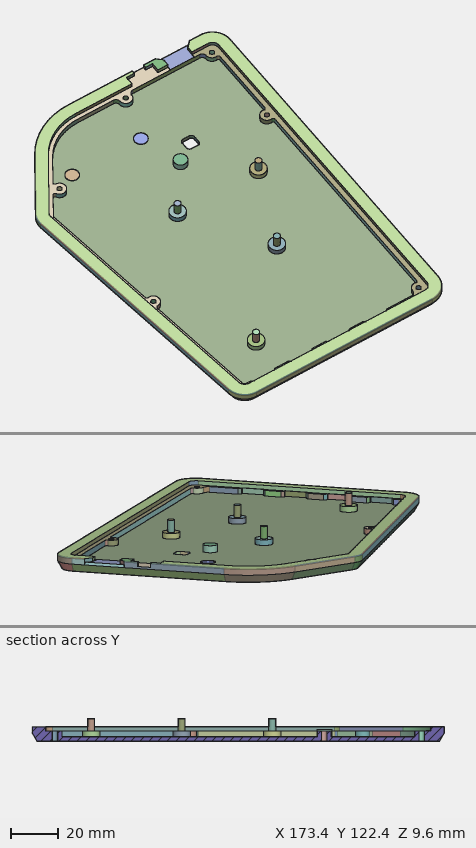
import cadquery as cq
import math


WIDTH = 173.4
DEPTH = 122.4
RIM_TOP = 6.2
PIN_TOP = 9.6

FLOOR_TOP = 2.0
SHELF_TOP = 4.4
BEVEL_HEIGHT = 3.5
BEVEL_INSET = 2.0
RIM_EDGE_RADIUS = 0.3

TOLERANCE = 0.01

CORNER_RADIUS = 9.0
LEFT_SWEEP_RADIUS = 32.0
FRONT_CORNER_X = 43.6
LEFT_SLANT = math.atan(2 / 3)
FRONT_SLANT = math.atan(1 / 8)

LIP_INSET = 5.8
SHELF_INSET = 7.6
BACK_SHELF_INSET = 8.1

SCREW_BOSS_DIAMETER = 6.0
SCREW_HOLE_DIAMETER = 2.2
SIDE_WALL_BLEND = 2.0
OTHER_WALL_BLEND = 0.8
SCREW_SPOTS = [
    (9.5, -9.6),
    (50.5, -9.6),
    (163.8, -9.6),
    (9.5, -53.5),
    (34.4, -104.2),
    (107.1, -106.0),
]

PIN_DIAMETER = 3.0
PIN_BASE_DIAMETER = 7.4
PIN_SPOTS = [(72.4, -28.8), (110.5, -45.4), (72.4, -70.0), (148.6, -82.0)]

DISC_DIAMETER = 6.2
PAD_SPOT = (50.4, -53.5)
PAD_TOP = 5.0
RECESS_SPOTS = [(29.6, -59.5), (29.6, -94.5)]
RECESS_DEPTH = 0.2

WINDOW_SIZE = 6.2
WINDOW_RADIUS = 1.5
WINDOW_CENTER = (43.0, -43.4)

GAP_COUNT = 4
GAP_INSET = 5.4
GAP_CORNER_BEVEL = 1.2
GAP_LENGTH = 9.6
GAP_PITCH = 19.0
FIRST_GAP_Y = -33.2

FLARED_BACK_Y = -17.3
FLARED_FRONT_Y = -29.5
FLARE = 2.7
FLARED_SILL = 4.6
SILL_BEVEL_WIDTH = 0.7
SILL_BEVEL_DROP = 1.1

POCKET_BACK_Y = -34.6
POCKET_FRONT_Y = -47.8
POCKET_WALL = 1.7
SLOT_BACK_Y = -38.1
SLOT_FRONT_Y = -43.8


def cylinder(spot, diameter, bottom, top):
    """Upright cylinder at spot between two heights."""
    return cq.Workplane("XY", origin=(*spot, bottom)).circle(diameter / 2).extrude(top - bottom)


def box(x_range, y_range, z_range):
    """Axis-aligned block from its low and high limits on each axis."""
    sizes = [high - low for low, high in (x_range, y_range, z_range)]
    corner = (x_range[0], y_range[0], z_range[0])
    return cq.Workplane("XY", origin=corner).box(*sizes, centered=False)


def outline_block(height):
    """Prism of the full rounded outline, standing on Z = 0."""
    half_difference = (LEFT_SLANT - FRONT_SLANT) / 2
    half_turn = (LEFT_SLANT + FRONT_SLANT) / 2
    arc_center_y = CORNER_RADIUS - DEPTH
    front_y = arc_center_y - CORNER_RADIUS * math.cos(half_difference) / math.cos(half_turn)
    left_y = front_y + FRONT_CORNER_X * math.tan(LEFT_SLANT)
    right_y = front_y + (WIDTH - FRONT_CORNER_X) * math.tan(FRONT_SLANT)
    corners = [(0, 0), (WIDTH, 0), (WIDTH, right_y), (FRONT_CORNER_X, front_y), (0, left_y)]
    block = cq.Workplane("XY").polyline(corners).close().extrude(height)
    sweep_edge = cq.selectors.NearestToPointSelector((0, left_y, height / 2))
    block = block.edges("|Z").edges(sweep_edge).fillet(LEFT_SWEEP_RADIUS)
    for x, y in corners[:-1]:
        nearest = cq.selectors.NearestToPointSelector((x, y, height / 2))
        block = block.edges("|Z").edges(nearest).fillet(CORNER_RADIUS)
    return block


def inset_block(inset, bottom, top):
    """Prism of the outline moved inward, between two heights."""
    wire = outline_block(top).faces("<Z").wires().val()
    inner = wire.offset2D(-inset)[0]
    return cq.Workplane("XY").add(inner).toPending().extrude(top - bottom).translate((0, 0, bottom))


def make_body():
    """Solid tray blank with its bevelled underside and softened rim."""
    blank = outline_block(RIM_TOP)
    blank = blank.faces("<Z").chamfer(BEVEL_INSET, BEVEL_HEIGHT)
    return blank.faces(">Z").edges().fillet(RIM_EDGE_RADIUS)


def make_cavity():
    """Lower cavity: the shelf outline less the screw bosses that grow from the wall."""
    cavity = inset_block(SHELF_INSET, FLOOR_TOP, SHELF_TOP)
    cavity = cavity.cut(box((0, WIDTH), (-BACK_SHELF_INSET, 0), (FLOOR_TOP, SHELF_TOP)))
    for spot in SCREW_SPOTS:
        cavity = cavity.cut(cylinder(spot, SCREW_BOSS_DIAMETER, FLOOR_TOP, SHELF_TOP))

    def joins_boss(edge):
        x, y, _ = edge.Center().toTuple()
        reaches = [math.dist((x, y), spot) for spot in SCREW_SPOTS]
        return min(abs(reach - SCREW_BOSS_DIAMETER / 2) for reach in reaches) < TOLERANCE

    def on_side_wall(edge):
        x = edge.Center().x
        return min(abs(x - SHELF_INSET), abs(WIDTH - SHELF_INSET - x)) < TOLERANCE

    joins = cavity.edges("|Z").filter(joins_boss)
    cavity = joins.filter(lambda edge: not on_side_wall(edge)).fillet(OTHER_WALL_BLEND)
    joins = cavity.edges("|Z").filter(joins_boss)
    return joins.filter(on_side_wall).fillet(SIDE_WALL_BLEND)


def cut_shelf_gaps(body):
    """Cut even gaps through the right-hand shelf, leaving tabs with bevelled corners."""
    tab_x = WIDTH - SHELF_INSET
    wall_x = WIDTH - GAP_INSET
    half_wall = GAP_LENGTH / 2
    half_mouth = half_wall + GAP_CORNER_BEVEL
    for index in range(GAP_COUNT):
        middle = FIRST_GAP_Y - index * GAP_PITCH
        profile = [
            (tab_x, middle - half_mouth),
            (tab_x + GAP_CORNER_BEVEL, middle - half_wall),
            (wall_x, middle - half_wall),
            (wall_x, middle + half_wall),
            (tab_x + GAP_CORNER_BEVEL, middle + half_wall),
            (tab_x, middle + half_mouth),
        ]
        gap = cq.Workplane("XY", origin=(0, 0, FLOOR_TOP)).polyline(profile).close()
        body = body.cut(gap.extrude(SHELF_TOP - FLOOR_TOP))
    return body


def cut_flared_opening(body):
    """Open the left wall down to a bevelled sill that also covers the shelf behind it."""
    sill = box((LIP_INSET, SHELF_INSET), (FLARED_FRONT_Y, FLARED_BACK_Y), (FLOOR_TOP, FLARED_SILL))
    body = body.union(sill)
    profile = [
        (0, FLARED_BACK_Y + FLARE),
        (FLARE, FLARED_BACK_Y),
        (SHELF_INSET, FLARED_BACK_Y),
        (SHELF_INSET, FLARED_FRONT_Y),
        (FLARE, FLARED_FRONT_Y),
        (0, FLARED_FRONT_Y - FLARE),
    ]
    opening = cq.Workplane("XY", origin=(0, 0, FLARED_SILL)).polyline(profile).close()
    body = body.cut(opening.extrude(RIM_TOP - FLARED_SILL))
    bevel_profile = [(0, FLARED_SILL - SILL_BEVEL_DROP), (SILL_BEVEL_WIDTH, FLARED_SILL), (0, FLARED_SILL)]
    bevel_start = FLARED_BACK_Y + FLARE
    bevel_length = FLARED_BACK_Y - FLARED_FRONT_Y + 2 * FLARE
    bevel = cq.Workplane("XZ", origin=(0, bevel_start, 0)).polyline(bevel_profile).close()
    return body.cut(bevel.extrude(bevel_length))


def cut_connector_pocket(body):
    """Pocket behind the left wall at shelf height, with a slot through the wall."""
    pocket = box((POCKET_WALL, SHELF_INSET), (POCKET_FRONT_Y, POCKET_BACK_Y), (SHELF_TOP, RIM_TOP))
    slot = box((0, SHELF_INSET), (SLOT_FRONT_Y, SLOT_BACK_Y), (SHELF_TOP, RIM_TOP))
    return body.cut(pocket).cut(slot)


def add_pins(body):
    """Stepped locating pins standing on the floor."""
    for spot in PIN_SPOTS:
        body = body.union(cylinder(spot, PIN_BASE_DIAMETER, 0, SHELF_TOP))
        body = body.union(cylinder(spot, PIN_DIAMETER, 0, PIN_TOP))
    return body


def add_floor_details(body):
    """Round pad, shallow recesses and the square window."""
    body = body.union(cylinder(PAD_SPOT, DISC_DIAMETER, 0, PAD_TOP))
    for spot in RECESS_SPOTS:
        body = body.cut(cylinder(spot, DISC_DIAMETER, FLOOR_TOP - RECESS_DEPTH, FLOOR_TOP))
    window = cq.Workplane("XY").center(*WINDOW_CENTER).rect(WINDOW_SIZE, WINDOW_SIZE).extrude(FLOOR_TOP)
    return body.cut(window.edges("|Z").fillet(WINDOW_RADIUS))


def drill_screw_holes(body):
    """Through holes in the screw bosses."""
    for spot in SCREW_SPOTS:
        body = body.cut(cylinder(spot, SCREW_HOLE_DIAMETER, 0, RIM_TOP))
    return body


tray = make_body()
tray = tray.cut(inset_block(LIP_INSET, SHELF_TOP, RIM_TOP))
tray = tray.cut(make_cavity())
tray = cut_shelf_gaps(tray)
tray = cut_flared_opening(tray)
tray = cut_connector_pocket(tray)
tray = add_pins(tray)
tray = add_floor_details(tray)
result = drill_screw_holes(tray)